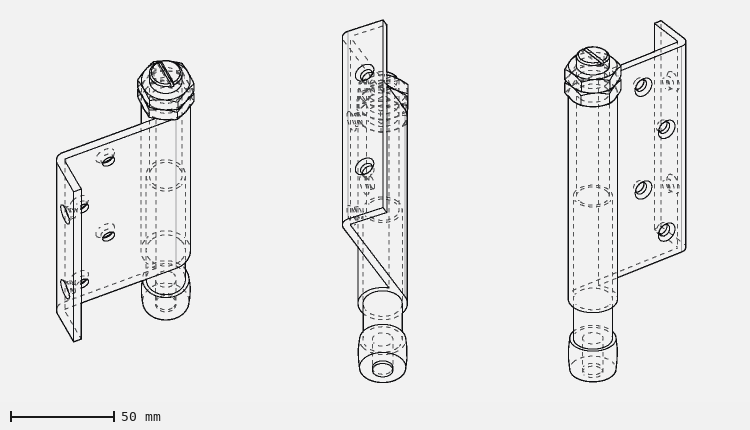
import cadquery as cq
import math

overall_height = 185.0
barrel_length = 120.0
nut_height = 8.0
nut_count = 2
screw_projection = 6.5
cap_length = 18.0
rivet_projection = 1.7
neck_length = (
    overall_height - barrel_length - nut_count * nut_height
    - screw_projection - cap_length - rivet_projection
)
cap_top = -neck_length
cap_bottom = cap_top - cap_length

barrel_diameter = 24.0
barrel_radius = barrel_diameter / 2
sheet_thickness = 4.0
leaf_reach = 64.0
flange_reach = 32.0
bend_inner_radius = 1.1
bend_outer_radius = bend_inner_radius + sheet_thickness
leaf_inner_x = barrel_radius - sheet_thickness

hole_diameter = 6.3
countersink_diameter = 10.0
countersink_angle = 90
hole_pitch = 60.0
near_column = 36.0
far_column = 50.0
flange_column = 22.0
near_column_depth = 15.0
far_column_depth = near_column_depth + hole_pitch / 2
flange_column_depth = 30.0

screw_diameter = 16.0
screw_chamfer = 1.0
slot_width = 1.7
slot_depth = 2.0
nut_across_flats = 23.9
nut_across_corners = nut_across_flats / math.cos(math.pi / 6)
nut_face_diameter = 23.7
nut_chamfer_angle = 30
nut_turns = [-0.6, 0.6]
plunger_diameter = 19.0
plunger_top = barrel_length / 2

cap_end_diameter = 22.5
cap_middle_diameter = 23.9
rivet_diameter = 10.0


def cylinder(diameter, bottom, top):
    return cq.Workplane("XY").workplane(offset=bottom).circle(diameter / 2).extrude(top - bottom)


def countersunk_holes(plane, across, first_depth):
    """Cutters for a column of two holes, sunk from the plane against its normal."""
    points = [(across, barrel_length - first_depth - i * hole_pitch) for i in range(2)]
    sink_depth = (countersink_diameter - hole_diameter) / 2 / math.tan(
        math.radians(countersink_angle / 2)
    )
    drill = cq.Workplane(plane).pushPoints(points).circle(hole_diameter / 2).extrude(-sheet_thickness)
    sink = (
        cq.Workplane(plane).pushPoints(points).circle(countersink_diameter / 2)
        .extrude(-sink_depth, taper=countersink_angle / 2)
    )
    return drill.union(sink)


def make_leaf():
    """Barrel with its tangent leaf, bent into a flange at the far edge."""
    sheet = (
        cq.Workplane("XY")
        .moveTo(barrel_radius, 0)
        .lineTo(leaf_inner_x, 0)
        .lineTo(leaf_inner_x, -leaf_reach)
        .lineTo(flange_reach, -leaf_reach)
        .lineTo(flange_reach, -leaf_reach + sheet_thickness)
        .lineTo(barrel_radius, -leaf_reach + sheet_thickness)
        .close()
        .extrude(barrel_length)
    )
    sheet = sheet.edges(
        cq.selectors.NearestToPointSelector((leaf_inner_x, -leaf_reach, barrel_length / 2))
    ).fillet(bend_outer_radius)
    sheet = sheet.edges(
        cq.selectors.NearestToPointSelector(
            (barrel_radius, -leaf_reach + sheet_thickness, barrel_length / 2)
        )
    ).fillet(bend_inner_radius)
    leaf = cylinder(barrel_diameter, 0, barrel_length).union(sheet)

    leaf = leaf.cut(cylinder(plunger_diameter, 0, plunger_top))
    leaf = leaf.cut(cylinder(screw_diameter, plunger_top, barrel_length))

    leaf_face = cq.Plane(origin=(leaf_inner_x, 0, 0), xDir=(0, -1, 0), normal=(-1, 0, 0))
    flange_face = cq.Plane(origin=(0, -leaf_reach, 0), xDir=(1, 0, 0), normal=(0, -1, 0))
    leaf = leaf.cut(countersunk_holes(leaf_face, near_column, near_column_depth))
    leaf = leaf.cut(countersunk_holes(leaf_face, far_column, far_column_depth))
    return leaf.cut(countersunk_holes(flange_face, flange_column, flange_column_depth))


def make_nut(bottom, turn):
    """Hexagon nut with both ends turned to a cone at the corners."""
    corner_radius = nut_across_corners / 2
    face_radius = nut_face_diameter / 2
    chamfer_height = (corner_radius - face_radius) * math.tan(math.radians(nut_chamfer_angle))
    hexagon = cq.Workplane("XY").polygon(6, nut_across_corners).extrude(nut_height)
    turned = (
        cq.Workplane("XZ")
        .polyline([
            (0, 0),
            (face_radius, 0),
            (corner_radius, chamfer_height),
            (corner_radius, nut_height - chamfer_height),
            (face_radius, nut_height),
            (0, nut_height),
        ])
        .close()
        .revolve(360, (0, 0), (0, 1))
    )
    nut = hexagon.intersect(turned).cut(cylinder(screw_diameter, 0, nut_height))
    nut = nut.rotate((0, 0, 0), (0, 0, 1), turn)
    return nut.translate((0, 0, bottom))


def make_screw():
    """Slotted adjusting screw in the upper part of the barrel."""
    top = barrel_length + nut_count * nut_height + screw_projection
    screw = cylinder(screw_diameter, plunger_top, top).faces(">Z").chamfer(screw_chamfer)
    slot = (
        cq.Workplane("XY").workplane(offset=top)
        .rect(screw_diameter, slot_width).extrude(-slot_depth)
    )
    return screw.cut(slot)


def make_plunger():
    return cylinder(plunger_diameter, cap_top, plunger_top)


def make_cap():
    """End cap with bulging sides, bored for the rivet."""
    cap = (
        cq.Workplane("XZ")
        .moveTo(0, cap_top)
        .lineTo(cap_end_diameter / 2, cap_top)
        .threePointArc(
            (cap_middle_diameter / 2, (cap_top + cap_bottom) / 2),
            (cap_end_diameter / 2, cap_bottom),
        )
        .lineTo(0, cap_bottom)
        .close()
        .revolve(360, (0, 0), (0, 1))
    )
    return cap.cut(cylinder(rivet_diameter, cap_bottom, cap_top))


def make_rivet():
    return cylinder(rivet_diameter, cap_bottom - rivet_projection, cap_top)


leaf = make_leaf()
nuts = [make_nut(barrel_length + i * nut_height, nut_turns[i]) for i in range(nut_count)]
screw = make_screw()
plunger = make_plunger()
cap = make_cap()
rivet = make_rivet()

result = cq.Compound.makeCompound([
    leaf.val(),
    *[nut.val() for nut in nuts],
    screw.val(),
    plunger.val(),
    cap.val(),
    rivet.val(),
])